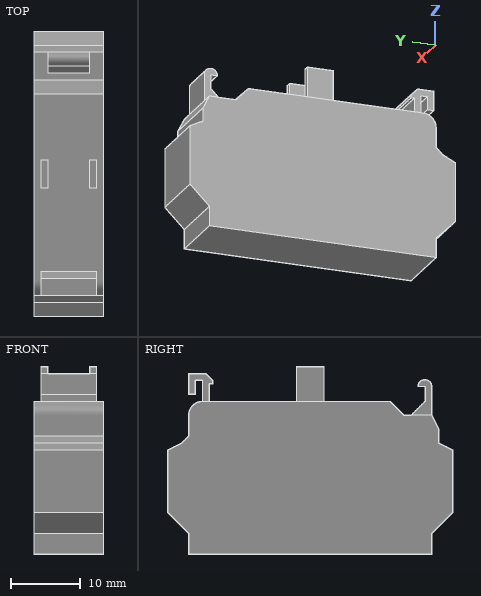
import cadquery as cq
import math

width = 10.0
length = 41.0
half_length = length / 2
foot_half_length = 17.5
foot_height = 3.0
flare_top = foot_height + (half_length - foot_half_length)
side_top = 15.0
ledge_z = 16.0
ledge_half_length = 18.5
front_step_z = 17.0
shoulder_bottom = 18.0
shelf_z = 20.0
shelf_inner_y = 13.5
top_z = 22.0
top_edge_y = shelf_inner_y - (top_z - shelf_z)
front_round = 2.0

tab_thickness = 1.0
tab_length = 4.0
tab_height = 5.0
tab_outer_span = 8.0

wall = 1.0

hook_width = 6.0
hook_lip_bottom = 24.1
hook_crown_radius = 1.02
hook_reach = 2.0
gusset_size = 2.0

clip_width = 8.0
clip_outer_y = -foot_half_length
clip_slot = 1.0
clip_post_front_y = clip_outer_y + wall + clip_slot
clip_post_back_y = clip_post_front_y + wall
clip_tip_overhang = 0.5
clip_tip_y = clip_post_back_y + clip_tip_overhang
clip_top = 26.0
clip_chamfer = 1.0
clip_tip_height = 0.5
clip_flap_bottom = 23.0


def centred_on_x(outline, depth):
    """Extrude a closed (Y, Z) outline by half the depth to each side of X = 0."""
    return outline.extrude(depth / 2, both=True)


def make_housing():
    outline = (
        cq.Workplane("YZ")
        .moveTo(-foot_half_length, 0)
        .lineTo(foot_half_length, 0)
        .lineTo(foot_half_length, foot_height)
        .lineTo(half_length, flare_top)
        .lineTo(half_length, side_top)
        .lineTo(ledge_half_length, ledge_z)
        .lineTo(ledge_half_length, shoulder_bottom)
        .lineTo(foot_half_length, shelf_z)
        .lineTo(shelf_inner_y, shelf_z)
        .lineTo(top_edge_y, top_z)
        .lineTo(-foot_half_length + front_round, top_z)
        .radiusArc((-foot_half_length, top_z - front_round), -front_round)
        .lineTo(-foot_half_length, front_step_z)
        .lineTo(-ledge_half_length, ledge_z)
        .lineTo(-half_length, side_top)
        .lineTo(-half_length, flare_top)
        .lineTo(-foot_half_length, foot_height)
        .close()
    )
    return centred_on_x(outline, width)


def make_hook():
    outer_y = foot_half_length
    inner_y = outer_y - wall
    crown_y = outer_y - hook_crown_radius
    tip_y = outer_y - hook_reach
    tip_z = hook_lip_bottom + math.sqrt(hook_crown_radius**2 - (crown_y - tip_y) ** 2)
    crown_z = hook_lip_bottom + hook_crown_radius
    outline = (
        cq.Workplane("YZ")
        .moveTo(outer_y, shelf_z)
        .lineTo(outer_y, hook_lip_bottom)
        .threePointArc((crown_y, crown_z), (tip_y, tip_z))
        .lineTo(tip_y, hook_lip_bottom)
        .lineTo(inner_y, hook_lip_bottom)
        .lineTo(inner_y, shelf_z + gusset_size)
        .lineTo(inner_y - gusset_size, shelf_z)
        .close()
    )
    return centred_on_x(outline, hook_width)


def make_clip():
    outline = (
        cq.Workplane("YZ")
        .moveTo(clip_post_front_y, top_z)
        .lineTo(clip_post_front_y, clip_top - wall)
        .lineTo(clip_outer_y + wall, clip_top - wall)
        .lineTo(clip_outer_y + wall, clip_flap_bottom)
        .lineTo(clip_outer_y, clip_flap_bottom)
        .lineTo(clip_outer_y, clip_top)
        .lineTo(clip_tip_y - clip_chamfer, clip_top)
        .lineTo(clip_tip_y, clip_top - clip_chamfer)
        .lineTo(clip_tip_y, clip_top - clip_chamfer - clip_tip_height)
        .lineTo(clip_post_back_y, clip_top - clip_chamfer - clip_tip_height)
        .lineTo(clip_post_back_y, top_z)
        .close()
    )
    return centred_on_x(outline, clip_width)


def make_tab(side):
    """Tab on one side of the top face; side is -1 or +1 along X."""
    centre_x = side * (tab_outer_span - tab_thickness) / 2
    tab = cq.Workplane("XY").box(tab_thickness, tab_length, tab_height, centered=(True, True, False))
    return tab.translate((centre_x, 0, top_z))


result = make_housing().union(make_hook()).union(make_clip())
for side in (-1, 1):
    result = result.union(make_tab(side))